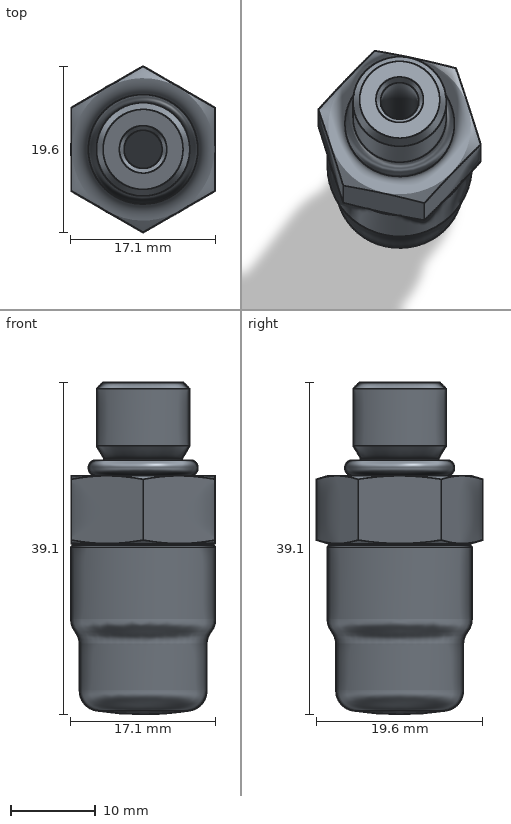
import cadquery as cq
import math

TOTAL_HEIGHT = 39.15
HEX_TOP = 28.15
SLEEVE_TOP = 19.95
SEAM_GAP = 0.15
HEX_BOTTOM = SLEEVE_TOP + SEAM_GAP

STUD_RADIUS = 11.0 / 2
STUD_CHAMFER = 0.8
STUD_BOTTOM = 31.67
NECK_RADIUS = 9.25 / 2
NECK_TOP = 30.22
BORE_RADIUS = 4.5 / 2
BORE_MOUTH_RADIUS = 5.6 / 2
BORE_MOUTH_DEPTH = BORE_MOUTH_RADIUS - BORE_RADIUS

HEX_ACROSS_FLATS = 17.0
HEX_CORNER_RADIUS = HEX_ACROSS_FLATS / math.sqrt(3)
HEX_FACE_RADIUS = 16.8 / 2
HEX_CORNER_DROP = 0.45

COLLAR_RADIUS = 14.05 / 2

RING_SECTION_RADIUS = 1.85 / 2
RING_CENTER_RADIUS = NECK_RADIUS + RING_SECTION_RADIUS

SLEEVE_RADIUS = 17.05 / 2
SLEEVE_CHAMFER = 0.25
NOSE_RADIUS = 15.05 / 2
SHOULDER_TOP = 11.25
SHOULDER_BOTTOM = 8.35
NOSE_ROUNDING = 2.45
NOSE_ROUNDING_TOP = 2.85

PLUG_RADIUS = 10.9 / 2


def revolve(profile):
    """Turn a closed radius/height profile into a solid around the Z axis."""
    return profile.close().revolve(360, (0, 0, 0), (0, 1, 0))


def rounding_height(radius):
    """Height of the rounded nose edge at a given radius."""
    center_radius = NOSE_RADIUS - NOSE_ROUNDING
    return NOSE_ROUNDING_TOP - math.sqrt(NOSE_ROUNDING**2 - (radius - center_radius) ** 2)


PLUG_EDGE_HEIGHT = rounding_height(PLUG_RADIUS)


def make_hexagon():
    """Hexagon with corners on the Y axis and turned chamfers at both ends."""
    prism = (
        cq.Workplane("XY", origin=(0, 0, HEX_BOTTOM))
        .polygon(6, 2 * HEX_CORNER_RADIUS)
        .extrude(HEX_TOP - HEX_BOTTOM)
        .rotate((0, 0, 0), (0, 0, 1), 30)
    )
    envelope = revolve(
        cq.Workplane("XZ")
        .moveTo(0, HEX_BOTTOM)
        .lineTo(HEX_FACE_RADIUS, HEX_BOTTOM)
        .lineTo(HEX_CORNER_RADIUS, HEX_BOTTOM + HEX_CORNER_DROP)
        .lineTo(HEX_CORNER_RADIUS, HEX_TOP - HEX_CORNER_DROP)
        .lineTo(HEX_FACE_RADIUS, HEX_TOP)
        .lineTo(0, HEX_TOP)
    )
    return prism.intersect(envelope)


def make_collar():
    """Collar that spaces the hexagon off the sleeve by a narrow gap."""
    return cq.Workplane("XY", origin=(0, 0, SLEEVE_TOP)).circle(COLLAR_RADIUS).extrude(SEAM_GAP)


def make_stud():
    """Stud with a chamfered tip and a tapered undercut down to the neck."""
    return revolve(
        cq.Workplane("XZ")
        .moveTo(0, HEX_TOP)
        .lineTo(NECK_RADIUS, HEX_TOP)
        .lineTo(NECK_RADIUS, NECK_TOP)
        .lineTo(STUD_RADIUS, STUD_BOTTOM)
        .lineTo(STUD_RADIUS, TOTAL_HEIGHT - STUD_CHAMFER)
        .lineTo(STUD_RADIUS - STUD_CHAMFER, TOTAL_HEIGHT)
        .lineTo(0, TOTAL_HEIGHT)
    )


def make_bore():
    """Cutter for the central bore with its countersunk mouth."""
    return revolve(
        cq.Workplane("XZ")
        .moveTo(0, SLEEVE_TOP)
        .lineTo(BORE_RADIUS, SLEEVE_TOP)
        .lineTo(BORE_RADIUS, TOTAL_HEIGHT - BORE_MOUTH_DEPTH)
        .lineTo(BORE_MOUTH_RADIUS, TOTAL_HEIGHT)
        .lineTo(0, TOTAL_HEIGHT)
    )


def make_fitting():
    return make_hexagon().union(make_stud()).union(make_collar()).cut(make_bore())


def make_o_ring():
    """Round-section ring around the neck, resting on the hexagon."""
    return (
        cq.Workplane("XZ")
        .center(RING_CENTER_RADIUS, HEX_TOP + RING_SECTION_RADIUS)
        .circle(RING_SECTION_RADIUS)
        .revolve(360, (-RING_CENTER_RADIUS, 0, 0), (-RING_CENTER_RADIUS, 1, 0))
    )


def make_sleeve():
    """Stepped sleeve with an S-shaped shoulder and a rounded nose."""
    shoulder_middle = ((SLEEVE_RADIUS + NOSE_RADIUS) / 2, (SHOULDER_TOP + SHOULDER_BOTTOM) / 2)
    rounding_middle_radius = (NOSE_RADIUS + PLUG_RADIUS) / 2
    return revolve(
        cq.Workplane("XZ")
        .moveTo(PLUG_RADIUS, SLEEVE_TOP)
        .lineTo(SLEEVE_RADIUS - SLEEVE_CHAMFER, SLEEVE_TOP)
        .lineTo(SLEEVE_RADIUS, SLEEVE_TOP - SLEEVE_CHAMFER)
        .lineTo(SLEEVE_RADIUS, SHOULDER_TOP)
        .tangentArcPoint(shoulder_middle, relative=False)
        .tangentArcPoint((NOSE_RADIUS, SHOULDER_BOTTOM), relative=False)
        .lineTo(NOSE_RADIUS, NOSE_ROUNDING_TOP)
        .threePointArc(
            (rounding_middle_radius, rounding_height(rounding_middle_radius)),
            (PLUG_RADIUS, PLUG_EDGE_HEIGHT),
        )
    )


def make_plug():
    """Plug filling the sleeve, with a shallow dome at its lower end."""
    dome_radius = (PLUG_RADIUS**2 + PLUG_EDGE_HEIGHT**2) / (2 * PLUG_EDGE_HEIGHT)
    middle_radius = PLUG_RADIUS / 2
    middle_height = dome_radius - math.sqrt(dome_radius**2 - middle_radius**2)
    return revolve(
        cq.Workplane("XZ")
        .moveTo(0, SLEEVE_TOP)
        .lineTo(PLUG_RADIUS, SLEEVE_TOP)
        .lineTo(PLUG_RADIUS, PLUG_EDGE_HEIGHT)
        .threePointArc((middle_radius, middle_height), (0, 0))
    )


fitting = make_fitting()
o_ring = make_o_ring()
sleeve = make_sleeve()
plug = make_plug()

result = cq.Compound.makeCompound([fitting.val(), o_ring.val(), sleeve.val(), plug.val()])